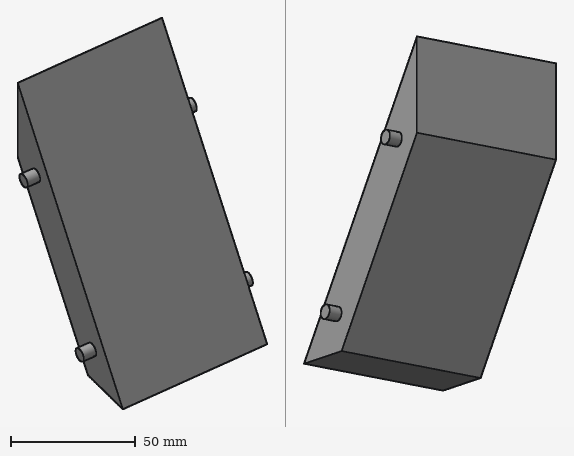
import cadquery as cq

length = 75.0
height = 120.0
width = 70.0
upright_face_height = 40.0
slope = height / length
foot_length = upright_face_height / slope

pin_count = 2
pin_diameter = 6.0
pin_projection = 6.0
upper_pin_x = 13.0
upper_pin_z = height - upright_face_height
pin_spacing_x = 40.0
pin_spacing_z = pin_spacing_x * slope


def make_block():
    """Block with parallel sloping faces, an upright face and a flat foot."""
    profile = [
        (0, height),
        (0, height - upright_face_height),
        (length - foot_length, 0),
        (length, 0),
    ]
    return cq.Workplane("XZ").polyline(profile).close().extrude(width / 2, both=True)


def make_pin(x, z):
    """Round pin passing through the block along Y."""
    half_length = width / 2 + pin_projection
    return cq.Workplane("XZ").center(x, z).circle(pin_diameter / 2).extrude(half_length, both=True)


result = make_block()
for step in range(pin_count):
    pin_x = upper_pin_x + step * pin_spacing_x
    pin_z = upper_pin_z - step * pin_spacing_z
    result = result.union(make_pin(pin_x, pin_z))